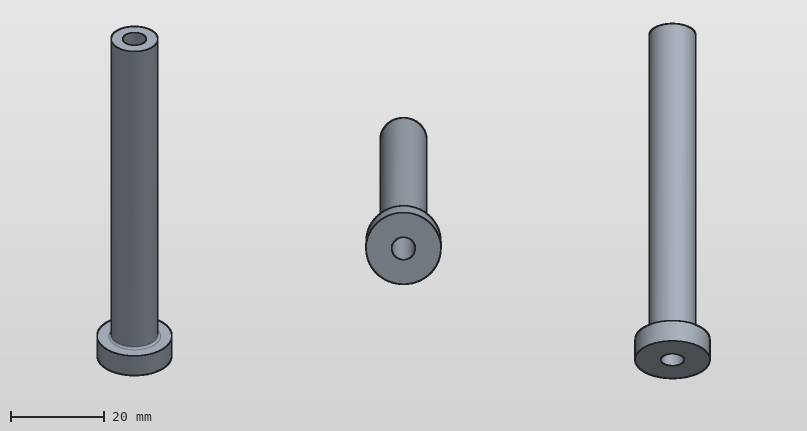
import cadquery as cq

TOTAL_LENGTH = 80.0
HEAD_DIAMETER = 16.0
HEAD_HEIGHT = 5.0
SHANK_DIAMETER = 10.0
BORE_DIAMETER = 5.0
NECK_FILLET_RADIUS = 0.5


def sleeve_half_section():
    """Half section in the XZ plane: bore wall, head, neck fillet and shank."""
    bore_radius = BORE_DIAMETER / 2
    head_radius = HEAD_DIAMETER / 2
    shank_radius = SHANK_DIAMETER / 2
    return (
        cq.Workplane("XZ")
        .moveTo(-bore_radius, 0)
        .lineTo(-head_radius, 0)
        .lineTo(-head_radius, HEAD_HEIGHT)
        .lineTo(-shank_radius - NECK_FILLET_RADIUS, HEAD_HEIGHT)
        .radiusArc((-shank_radius, HEAD_HEIGHT + NECK_FILLET_RADIUS), -NECK_FILLET_RADIUS)
        .lineTo(-shank_radius, TOTAL_LENGTH)
        .lineTo(-bore_radius, TOTAL_LENGTH)
        .close()
    )


result = sleeve_half_section().revolve(360, (0, 0, 0), (0, 1, 0))